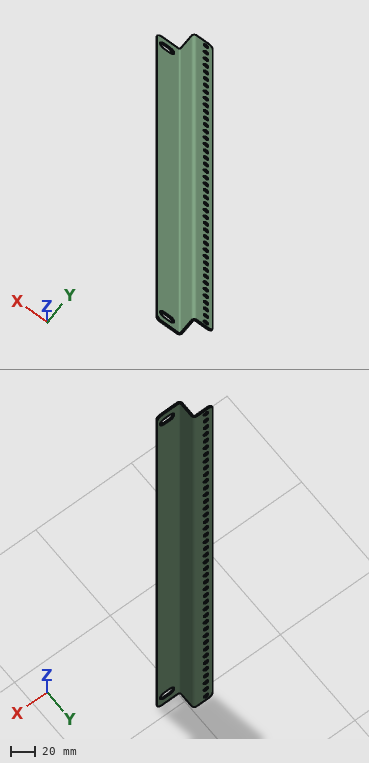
import cadquery as cq

LENGTH = 540.0
DEPTH = 20.0
SHEET = 1.5
REAR_FLANGE_WIDTH = 20.0
FRONT_FLANGE_WIDTH = 25.0
WIDTH = REAR_FLANGE_WIDTH + FRONT_FLANGE_WIDTH - SHEET
INNER_BEND_RADIUS = 1.5
OUTER_BEND_RADIUS = INNER_BEND_RADIUS + SHEET
CORNER_RADIUS = 5.0

HOLE_COUNT = 43
HOLE_PITCH = 12.5
HOLE_DIAMETER = 4.5
HOLE_X = 7.0
FIRST_HOLE_Z = (LENGTH - (HOLE_COUNT - 1) * HOLE_PITCH) / 2

SLOT_LENGTH = 15.0
SLOT_HEIGHT = 10.0
SLOT_SIDE_DISTANCE = 10.25
SLOT_X = WIDTH - SLOT_SIDE_DISTANCE
SLOT_END_DISTANCE = 15.0

WEB_RIGHT = REAR_FLANGE_WIDTH
WEB_LEFT = WEB_RIGHT - SHEET


def make_section():
    """Bent Z-shaped sheet, with its front face on Y = 0 and its lower end on Z = 0."""
    sharp = (
        cq.Workplane("XY")
        .moveTo(WEB_LEFT, 0)
        .lineTo(WIDTH, 0)
        .lineTo(WIDTH, SHEET)
        .lineTo(WEB_RIGHT, SHEET)
        .lineTo(WEB_RIGHT, DEPTH)
        .lineTo(0, DEPTH)
        .lineTo(0, DEPTH - SHEET)
        .lineTo(WEB_LEFT, DEPTH - SHEET)
        .close()
        .extrude(LENGTH)
    )
    outer_bends = [(WEB_LEFT, 0), (WEB_RIGHT, DEPTH)]
    inner_bends = [(WEB_RIGHT, SHEET), (WEB_LEFT, DEPTH - SHEET)]
    section = round_bends(sharp, outer_bends, OUTER_BEND_RADIUS)
    return round_bends(section, inner_bends, INNER_BEND_RADIUS)


def round_bends(body, positions, radius):
    """Fillet the full-length vertical edges at the given XY positions."""
    for x, y in positions:
        edge = cq.selectors.NearestToPointSelector((x, y, LENGTH / 2))
        body = body.edges("|Z").edges(edge).fillet(radius)
    return body


def round_flange_corners(body):
    """Round the two free corners of each flange in the plane of the sheet."""
    for side in ("<X", ">X"):
        body = body.faces(side).edges("|Y").fillet(CORNER_RADIUS)
    return body


def make_round_holes():
    """Cutters for the hole row, running from Y = 0 through the rear flange."""
    centres = [(HOLE_X, FIRST_HOLE_Z + i * HOLE_PITCH) for i in range(HOLE_COUNT)]
    return cq.Workplane("XZ").pushPoints(centres).circle(HOLE_DIAMETER / 2).extrude(-DEPTH)


def make_slots():
    """Cutters for the two slots, one near each end of the front flange."""
    centres = [(SLOT_X, SLOT_END_DISTANCE), (SLOT_X, LENGTH - SLOT_END_DISTANCE)]
    return cq.Workplane("XZ").pushPoints(centres).slot2D(SLOT_LENGTH, SLOT_HEIGHT).extrude(-DEPTH)


rail = round_flange_corners(make_section())
result = rail.cut(make_round_holes()).cut(make_slots())